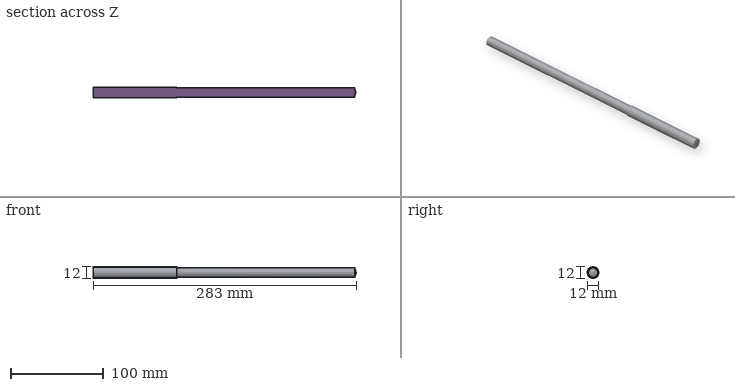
import cadquery as cq

overall_length = 283.0
handle_length = 90.0
handle_diameter = 12.0
shaft_diameter = 10.5
tip_length = 1.5

handle_radius = handle_diameter / 2
shaft_radius = shaft_diameter / 2
shaft_end = overall_length - tip_length


def stepped_rod():
    """Revolve the half profile of handle, shaft and tip about the X axis."""
    half_profile = (
        cq.Workplane("XY")
        .moveTo(0, 0)
        .lineTo(0, handle_radius)
        .lineTo(handle_length, handle_radius)
        .lineTo(handle_length, shaft_radius)
        .lineTo(shaft_end, shaft_radius)
        .lineTo(overall_length, 0)
        .close()
    )
    return half_profile.revolve(360, (0, 0, 0), (1, 0, 0))


result = stepped_rod()